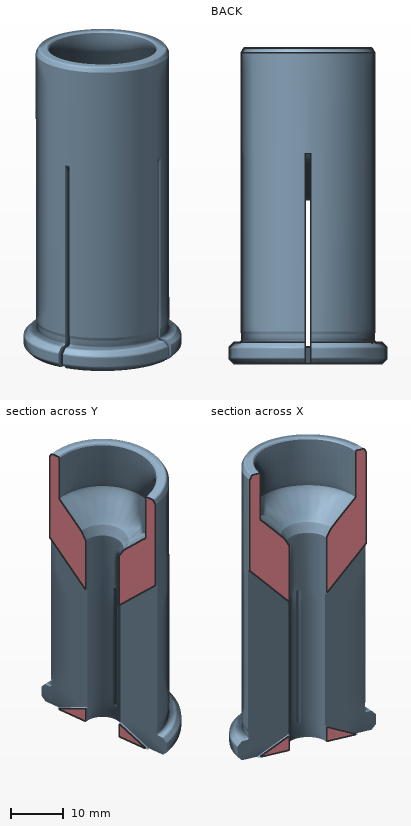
import cadquery as cq

height = 60.0
flange_radius = 15.0
body_radius = 25.4 / 2
wall_inner_radius = 20.5 / 2

flange_height = 4.0
flange_chamfer = 0.95
flange_edge_fillet = 0.5
groove_top = 6.1
groove_slope = 0.55
groove_depth = 0.1
groove_fillet = 0.5

rim_chamfer_height = 0.95
rim_chamfer_width = 0.55
rim_edge_fillet = 0.5
rim_inner_chamfer = 0.25

edge_margin = 0.05

funnel_top = 50.1
throat_radius = 10.0 / 2
hole_radius = 7.9 / 2
throat_height = 1.8

slot_width = 1.0
slot_top = 39.9
slot_sill_height = 3.2
slot_sill_run = 6.85
slot_count = 4
slot_overshoot = 0.6


def outer_edge(body, radius, z):
    """Largest circular edge at height z, no wider than the given radius."""
    reach = radius + edge_margin
    ring_box = cq.selectors.BoxSelector(
        (-reach, -reach, z - edge_margin),
        (reach, reach, z + edge_margin),
        boundingbox=True,
    )
    return body.edges(ring_box).edges("%CIRCLE").edges(cq.selectors.RadiusNthSelector(-1))


def sleeve():
    """Flanged outer body, turned about Z."""
    groove_radius = body_radius - groove_depth
    profile = [
        (0, 0),
        (flange_radius - flange_chamfer, 0),
        (flange_radius, flange_chamfer),
        (flange_radius, flange_height - flange_chamfer),
        (flange_radius - flange_chamfer, flange_height),
        (groove_radius, flange_height),
        (groove_radius, groove_top - groove_slope),
        (body_radius, groove_top),
        (body_radius, height - rim_chamfer_height),
        (body_radius - rim_chamfer_width, height),
        (0, height),
    ]
    body = cq.Workplane("XZ").polyline(profile).close().revolve(360, (0, 0), (0, 1))

    edge_fillets = [
        (flange_radius, flange_chamfer, flange_edge_fillet),
        (flange_radius, flange_height - flange_chamfer, flange_edge_fillet),
        (flange_radius - flange_chamfer, flange_height, flange_edge_fillet),
        (groove_radius, flange_height, groove_fillet),
        (body_radius - rim_chamfer_width, height, rim_edge_fillet),
    ]
    for radius, z, fillet in edge_fillets:
        body = outer_edge(body, radius, z).fillet(fillet)
    return body


def stepped_bore():
    """Upper socket, funnel, throat and through bore, turned about Z."""
    funnel_bottom = funnel_top - (wall_inner_radius - throat_radius)
    profile = [
        (0, height),
        (wall_inner_radius + rim_inner_chamfer, height),
        (wall_inner_radius, height - rim_inner_chamfer),
        (wall_inner_radius, funnel_top),
        (throat_radius, funnel_bottom),
        (hole_radius, funnel_bottom - throat_height),
        (hole_radius, 0),
        (0, 0),
    ]
    return cq.Workplane("XZ").polyline(profile).close().revolve(360, (0, 0), (0, 1))


def wall_slot(angle):
    """Radial slot from the bore outward, with a sloped upper end and a sloped sill at the foot."""
    outer_end = flange_radius + slot_overshoot
    profile = [
        (0, slot_sill_height),
        (hole_radius, slot_sill_height),
        (hole_radius + slot_sill_run, 0),
        (outer_end, 0),
        (outer_end, slot_top + outer_end - body_radius),
        (0, slot_top - body_radius),
    ]
    slot = cq.Workplane("XZ").polyline(profile).close().extrude(slot_width / 2, both=True)
    return slot.rotate((0, 0, 0), (0, 0, 1), angle)


result = sleeve().cut(stepped_bore())
for index in range(slot_count):
    result = result.cut(wall_slot(index * 360 / slot_count))